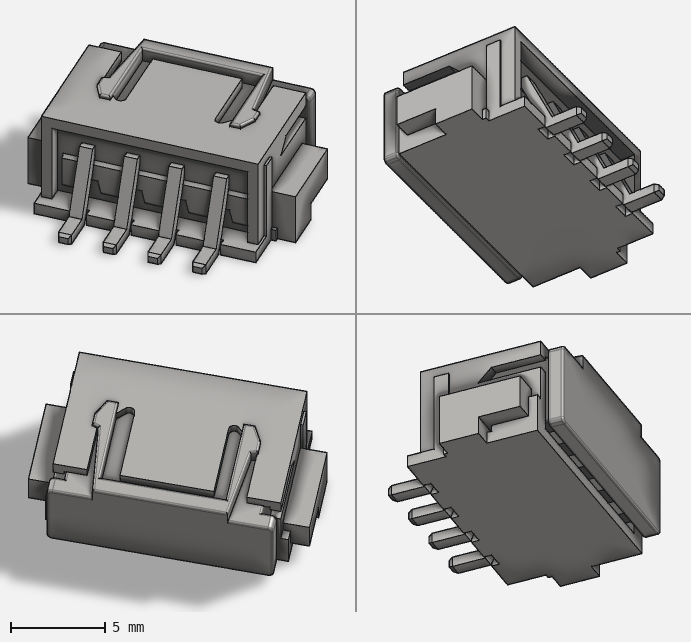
import cadquery as cq
import math


SHELL_HALF_WIDTH = 6.16
SHELL_LENGTH = 7.04
SHELL_TOP = 5.9
FLOOR_TOP = 0.68
CAVITY_TOP = 5.26
CAVITY_HALF_WIDTH = 5.57

WEB_REAR = 0.87
WEB_FRONT = 1.7
RIB_HALF_WIDTH = 6.3

LIP_REAR = -0.7
LIP_FRONT = 1.55
LIP_SLOT_WIDTH = 0.96
LIP_SLOT_FRONT = -0.26

FOOT_HALF_WIDTH = 6.57
TALL_FOOT_REAR = 4.35
TALL_FOOT_TOP = 2.25

TAB_HALF_SPAN = 7.6
TAB_REAR = 1.78
TAB_FRONT = 6.51
TAB_TOP = 2.98
TAB_LEG_FRONT = 4.08
TAB_UNDERCUT_TOP = 1.05

WINDOW_BOTTOM = 4.26
WINDOW_TOP = 5.03
WINDOW_BOTTOM_REAR = 3.38
WINDOW_TOP_REAR = 4.15

ROOF_SLOT_INNER = 2.54
ROOF_SLOT_OUTER = 4.32
ROOF_SLOT_TURN = 4.17
ROOF_SLOT_END_RADIUS = 0.3

PIN_COUNT = 4
PIN_PITCH = 2.54
PIN_WIDTH = 0.75
PIN_THICKNESS = 0.6
PIN_TOP = 4.12
PIN_TIP = -2.85
PIN_TOP_BEND = 0.5
PIN_FOOT_BEND = -1.06
PIN_TIP_LENGTH = 0.25
PIN_TIP_BEVEL = 0.1

PLUG_CENTRE = 0.1
PLUG_FRONT = 8.4
PLUG_TOP = 6.1
FLANGE_REAR = 7.48
FLANGE_HALF_WIDTH = 6.13
FLANGE_BOTTOM = 0.43
FLANGE_TOP = 5.31
FLANGE_CORNER_RADIUS = 0.3
BODY_HALF_WIDTH = 5.35
BODY_BOTTOM = 1.19
NOSE_REAR = 0.67
NOSE_FACE_TOP = 2.98
NOSE_TOP = 3.16
EDGE_FILLET = 0.12

CHANNEL_PITCH = 2.5
CHANNEL_TOP = 2.01
CHANNEL_TOP_HALF_WIDTH = 0.43
CHANNEL_BOTTOM_HALF_WIDTH = 0.62

LATCH_FRONT_HALF_WIDTH = 3.67
ARM_NECK_HALF_WIDTH = 4.14
HOOK_HALF_WIDTH = 4.49
ARM_TIP_HALF_WIDTH = 4.0
ARM_INNER_HALF_WIDTH = 3.39
ARM_NECK_Y = 4.44
HOOK_FRONT_Y = 4.32
HOOK_REAR_Y = 3.6
ARM_TIP_Y = 2.7


def box(x_range, y_range, z_range):
    """Box between two limits along each axis."""
    size = [high - low for low, high in (x_range, y_range, z_range)]
    return cq.Workplane("XY").box(*size, centered=False).translate((x_range[0], y_range[0], z_range[0]))


def wide_box(half_width, y_range, z_range):
    """Box centred on X = 0."""
    return box((-half_width, half_width), y_range, z_range)


def side_prism(points, x_start, x_end):
    """Outline of (Y, Z) points extruded along X."""
    return cq.Workplane("YZ").polyline(points).close().extrude(x_end - x_start).translate((x_start, 0, 0))


def row_positions(count, pitch):
    return [(i - (count - 1) / 2) * pitch for i in range(count)]


PIN_POSITIONS = row_positions(PIN_COUNT, PIN_PITCH)


def make_shell():
    shell = wide_box(SHELL_HALF_WIDTH, (0, SHELL_LENGTH), (0, SHELL_TOP))
    recess = wide_box(CAVITY_HALF_WIDTH, (0, WEB_REAR), (FLOOR_TOP, CAVITY_TOP))
    cavity = wide_box(CAVITY_HALF_WIDTH, (WEB_FRONT, SHELL_LENGTH), (FLOOR_TOP, CAVITY_TOP))
    ribs = wide_box(RIB_HALF_WIDTH, (WEB_REAR, WEB_FRONT), (0, CAVITY_TOP))
    return shell.union(ribs).cut(recess).cut(cavity)


def make_lip():
    lip = wide_box(RIB_HALF_WIDTH, (LIP_REAR, LIP_FRONT), (0, FLOOR_TOP))
    for x in PIN_POSITIONS:
        slot_sides = (x - LIP_SLOT_WIDTH / 2, x + LIP_SLOT_WIDTH / 2)
        lip = lip.cut(box(slot_sides, (LIP_REAR, LIP_SLOT_FRONT), (0, FLOOR_TOP)))
    return lip


def make_feet():
    low = wide_box(FOOT_HALF_WIDTH, (LIP_FRONT, TALL_FOOT_REAR), (0, FLOOR_TOP))
    tall = wide_box(FOOT_HALF_WIDTH, (TALL_FOOT_REAR, SHELL_LENGTH), (0, TALL_FOOT_TOP))
    bore = wide_box(CAVITY_HALF_WIDTH, (TALL_FOOT_REAR, SHELL_LENGTH), (FLOOR_TOP, TALL_FOOT_TOP))
    return low.union(tall).cut(bore)


def make_tabs():
    outline = [
        (TAB_REAR, 0),
        (TAB_LEG_FRONT, 0),
        (TAB_LEG_FRONT, TAB_UNDERCUT_TOP),
        (TAB_FRONT, TAB_UNDERCUT_TOP),
        (TAB_FRONT, TAB_TOP),
        (TAB_REAR, TAB_TOP),
    ]
    left = side_prism(outline, -TAB_HALF_SPAN, -SHELL_HALF_WIDTH)
    right = side_prism(outline, SHELL_HALF_WIDTH, TAB_HALF_SPAN)
    return left.union(right)


def make_windows():
    """Cutter that opens both side walls; the cavity lies between them."""
    outline = [
        (SHELL_LENGTH, WINDOW_BOTTOM),
        (WINDOW_BOTTOM_REAR, WINDOW_BOTTOM),
        (WINDOW_TOP_REAR, WINDOW_TOP),
        (SHELL_LENGTH, WINDOW_TOP),
    ]
    return side_prism(outline, -SHELL_HALF_WIDTH, SHELL_HALF_WIDTH)


def make_roof_slots():
    """Cutter for the two latch-arm slots."""
    slot_point_y = ROOF_SLOT_TURN - (ROOF_SLOT_OUTER - ROOF_SLOT_INNER)
    right = (
        cq.Workplane("XY", origin=(0, 0, CAVITY_TOP))
        .moveTo(ROOF_SLOT_INNER, SHELL_LENGTH)
        .lineTo(ROOF_SLOT_INNER, slot_point_y)
        .lineTo(ROOF_SLOT_OUTER, ROOF_SLOT_TURN)
        .lineTo(ROOF_SLOT_OUTER, SHELL_LENGTH)
        .close()
        .extrude(SHELL_TOP - CAVITY_TOP)
        .edges("|Z and <Y")
        .fillet(ROOF_SLOT_END_RADIUS)
    )
    return right.union(right.mirror("YZ"))


def make_pin(x):
    """Pin that leaves the web level, slopes down and ends in a flat soldering foot with a tapered tip."""
    slope_angle = math.atan2(PIN_TOP - PIN_THICKNESS, PIN_TOP_BEND - PIN_FOOT_BEND)
    bend_shift = PIN_THICKNESS * math.tan(slope_angle / 2)
    tip_root_y = PIN_TIP + PIN_TIP_LENGTH
    outline = [
        (WEB_REAR, PIN_TOP),
        (PIN_TOP_BEND, PIN_TOP),
        (PIN_FOOT_BEND, PIN_THICKNESS),
        (tip_root_y, PIN_THICKNESS),
        (tip_root_y, 0),
        (PIN_FOOT_BEND + bend_shift, 0),
        (PIN_TOP_BEND + bend_shift, PIN_TOP - PIN_THICKNESS),
        (WEB_REAR, PIN_TOP - PIN_THICKNESS),
    ]
    pin = side_prism(outline, x - PIN_WIDTH / 2, x + PIN_WIDTH / 2)
    tip = (
        cq.Workplane("XZ", origin=(x, tip_root_y, PIN_THICKNESS / 2))
        .rect(PIN_WIDTH, PIN_THICKNESS)
        .extrude(PIN_TIP_LENGTH, taper=math.degrees(math.atan2(PIN_TIP_BEVEL, PIN_TIP_LENGTH)))
    )
    return pin.union(tip)


def make_header(plug):
    """Header with its web and roof opened to the shape of the plug."""
    header = make_shell().union(make_lip()).union(make_feet()).union(make_tabs())
    header = header.cut(make_windows()).cut(make_roof_slots()).cut(plug)
    for x in PIN_POSITIONS:
        header = header.union(make_pin(x))
    return header


def make_flange():
    return (
        wide_box(FLANGE_HALF_WIDTH, (FLANGE_REAR, PLUG_FRONT), (FLANGE_BOTTOM, FLANGE_TOP))
        .edges("|Y")
        .fillet(FLANGE_CORNER_RADIUS)
        .faces("<Y or >Y")
        .edges()
        .fillet(EDGE_FILLET)
    )


def make_plug_body():
    """Block inside the cavity, and the bevelled nose that passes through the web."""
    block = (
        wide_box(BODY_HALF_WIDTH, (WEB_FRONT, FLANGE_REAR + EDGE_FILLET), (BODY_BOTTOM, FLANGE_TOP))
        .edges("|Y")
        .fillet(EDGE_FILLET)
    )
    nose_outline = [
        (WEB_FRONT, BODY_BOTTOM),
        (NOSE_REAR, BODY_BOTTOM),
        (NOSE_REAR, NOSE_FACE_TOP),
        (WEB_REAR, NOSE_TOP),
        (WEB_FRONT, NOSE_TOP),
    ]
    nose = side_prism(nose_outline, -BODY_HALF_WIDTH, BODY_HALF_WIDTH)
    nose = nose.edges("(|Y and <Z) or (<Y and <Z)").fillet(EDGE_FILLET)
    return block.union(nose).cut(make_channels())


def make_channels():
    """Cutter for the channels under the plug body."""
    channels = cq.Workplane("XY")
    for x in row_positions(PIN_COUNT, CHANNEL_PITCH):
        channel = (
            cq.Workplane("XZ", origin=(x, FLANGE_REAR, 0))
            .moveTo(-CHANNEL_BOTTOM_HALF_WIDTH, BODY_BOTTOM)
            .lineTo(-CHANNEL_TOP_HALF_WIDTH, CHANNEL_TOP)
            .lineTo(CHANNEL_TOP_HALF_WIDTH, CHANNEL_TOP)
            .lineTo(CHANNEL_BOTTOM_HALF_WIDTH, BODY_BOTTOM)
            .close()
            .extrude(FLANGE_REAR - NOSE_REAR)
        )
        channels = channels.add(channel)
    return channels.combine()


def make_latch():
    """Raised bar with two hooked arms, rounded along its top edge."""
    right_half = [
        (LATCH_FRONT_HALF_WIDTH, PLUG_FRONT),
        (ARM_NECK_HALF_WIDTH, ARM_NECK_Y),
        (HOOK_HALF_WIDTH, HOOK_FRONT_Y),
        (HOOK_HALF_WIDTH, HOOK_REAR_Y),
        (ARM_TIP_HALF_WIDTH, ARM_TIP_Y),
        (ARM_INNER_HALF_WIDTH, ARM_TIP_Y),
        (ARM_INNER_HALF_WIDTH, FLANGE_REAR),
    ]
    left_half = [(-x, y) for x, y in reversed(right_half)]
    latch_bottom = FLANGE_TOP - EDGE_FILLET
    return (
        cq.Workplane("XY", origin=(0, 0, latch_bottom))
        .polyline(right_half + left_half)
        .close()
        .extrude(PLUG_TOP - latch_bottom)
        .faces(">Z")
        .edges()
        .fillet(EDGE_FILLET)
    )


def make_plug():
    plug = make_flange().union(make_plug_body()).union(make_latch())
    return plug.translate((PLUG_CENTRE, 0, 0))


plug = make_plug()
header = make_header(plug)
result = cq.Compound.makeCompound([header.val(), plug.val()])